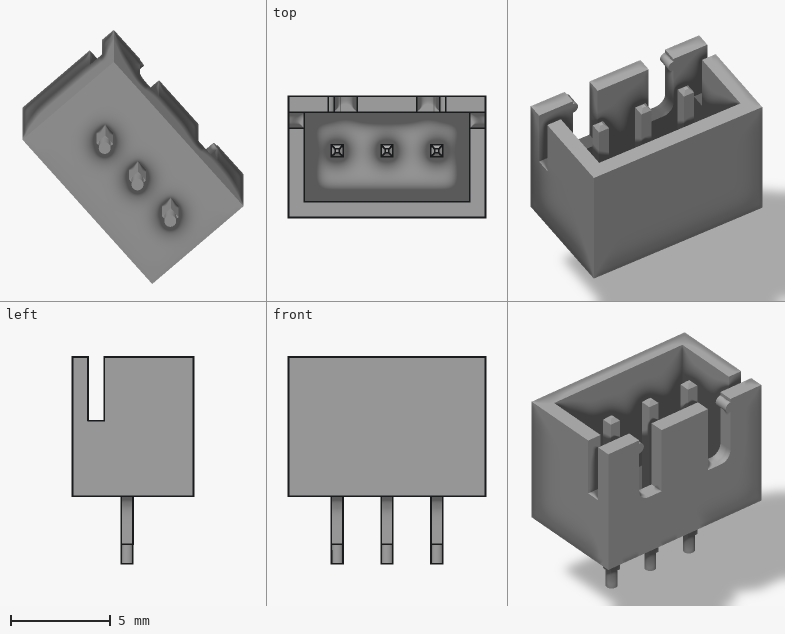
import cadquery as cq


housing_width = 9.9
housing_depth = 6.1
housing_height = 7.0
wall = 0.8
floor_thickness = wall
pin_to_back = 2.75

back_y = pin_to_back
front_y = back_y - housing_depth
inner_back_y = back_y - wall

side_slot_width = 0.8
side_slot_depth = 3.2

middle_panel_width = 3.0
tab_spacing = 5.9
notch_depth = 3.7
notch_corner_radius = 0.6

bump_radius = 0.3
bump_drop = 0.5

pin_count = 3
pin_pitch = 2.5
pin_size = 0.6
pin_top_drop = 0.2
tip_height = 0.2
tip_flat = 0.2
pin_reach = 3.4
tail_length = 1.0


def make_box(x_min, x_max, y_min, y_max, z_min, z_max):
    """Box given by its limits along each axis."""
    return cq.Workplane("XY").box(
        x_max - x_min, y_max - y_min, z_max - z_min, centered=False
    ).translate((x_min, y_min, z_min))


def make_shell():
    half_width = housing_width / 2
    outer = make_box(-half_width, half_width, front_y, back_y, 0, housing_height)
    cavity = make_box(
        -half_width + wall, half_width - wall,
        front_y + wall, inner_back_y,
        floor_thickness, housing_height,
    )
    return outer.cut(cavity)


def make_side_slots():
    """One cutter that passes through both side walls."""
    return make_box(
        -housing_width / 2, housing_width / 2,
        inner_back_y - side_slot_width, inner_back_y,
        housing_height - side_slot_depth, housing_height,
    )


def make_right_notch():
    """Cutter for the right-hand notch, rounded at the foot of the corner tab."""
    inner_x = middle_panel_width / 2
    outer_x = tab_spacing / 2
    notch = make_box(
        inner_x, outer_x, inner_back_y, back_y, housing_height - notch_depth, housing_height
    )
    return notch.edges("|Y and <Z and >X").fillet(notch_corner_radius)


def make_right_bump():
    """Round bar, half buried in the edge of the right-hand corner tab."""
    return (
        cq.Workplane("XZ", origin=(0, back_y, 0))
        .center(tab_spacing / 2, housing_height - bump_drop)
        .circle(bump_radius)
        .extrude(wall)
    )


def make_pin(x):
    shank_bottom = tail_length - pin_reach
    shank_top = housing_height - pin_top_drop - tip_height
    half_size = pin_size / 2
    shank = make_box(x - half_size, x + half_size, -half_size, half_size, shank_bottom, shank_top)
    tip = (
        cq.Workplane("XY", origin=(x, 0, shank_top))
        .rect(pin_size, pin_size)
        .workplane(offset=tip_height)
        .rect(tip_flat, tip_flat)
        .loft(ruled=True)
    )
    tail = (
        cq.Workplane("XY", origin=(x, 0, -pin_reach))
        .circle(half_size)
        .extrude(tail_length)
    )
    return shank.union(tip).union(tail)


result = make_shell().cut(make_side_slots())

right_notch = make_right_notch()
result = result.cut(right_notch).cut(right_notch.mirror("YZ"))

right_bump = make_right_bump()
result = result.union(right_bump).union(right_bump.mirror("YZ"))

for index in range(pin_count):
    pin_x = (index - (pin_count - 1) / 2) * pin_pitch
    result = result.union(make_pin(pin_x))